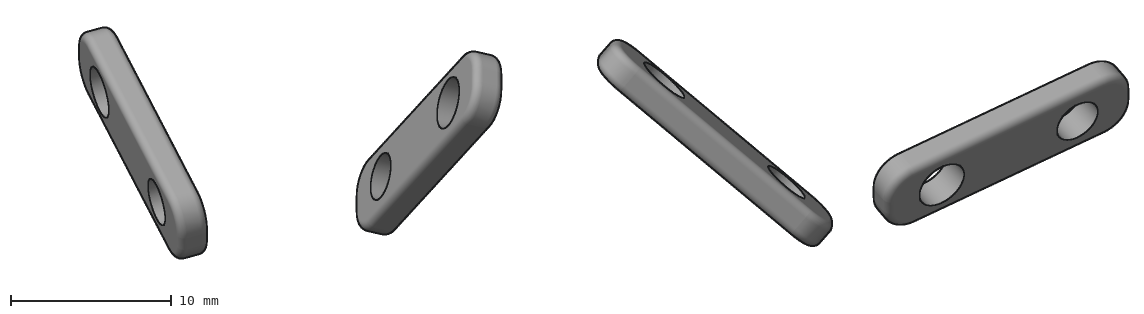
import cadquery as cq

length = 18.0
thickness = 2.0
height = 5.0
corner_radius = 2.0
edge_radius = 0.5

hole_spacing = 10.0
large_hole_diameter = 3.3
small_hole_diameter = 3.0


def rounded_plate():
    """Plate centred on the origin, with rounded corners and rounded face edges."""
    plate = cq.Workplane("XY").box(length, thickness, height)
    plate = plate.edges("|Y").fillet(corner_radius)
    return plate.faces("<Y or >Y").edges().fillet(edge_radius)


def hole_cutter(center_x, diameter):
    """Cylinder along Y that passes through the whole plate thickness."""
    return (
        cq.Workplane("XZ", origin=(center_x, thickness / 2, 0))
        .circle(diameter / 2)
        .extrude(thickness)
    )


result = rounded_plate()
result = result.cut(hole_cutter(-hole_spacing / 2, large_hole_diameter))
result = result.cut(hole_cutter(hole_spacing / 2, small_hole_diameter))